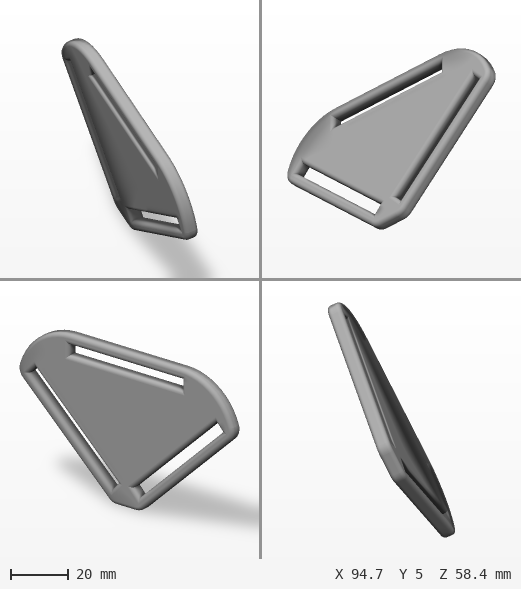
import cadquery as cq
import math

WIDTH = 94.7
HEIGHT = 58.4
THICKNESS = 5.0
EDGE_RADIUS = 1.5

TOP_HALF_LENGTH = 24.3
SHOULDER_RADIUS = 24.0
SIDE_RADIUS = 5.0
BOTTOM_HALF_LENGTH = 4.2
BOTTOM_RADIUS = 5.0

SLOT_LENGTH = 50.0
SLOT_WIDTH = 4.1
SLOT_INSET = 6.0
SLOT_SHIFT = 0.6


def along(start, angle, distance):
    """Point at a distance from start in the direction of an angle in radians."""
    return (start[0] + distance * math.cos(angle), start[1] + distance * math.sin(angle))


def mirrored(point):
    return (-point[0], point[1])


shoulder_center = (TOP_HALF_LENGTH, -SHOULDER_RADIUS)
side_x = WIDTH / 2 - SIDE_RADIUS
center_gap = SHOULDER_RADIUS - SIDE_RADIUS
side_z = shoulder_center[1] + math.sqrt(center_gap**2 - (side_x - TOP_HALF_LENGTH) ** 2)
side_center = (side_x, side_z)
bottom_center = (BOTTOM_HALF_LENGTH, BOTTOM_RADIUS - HEIGHT)

shoulder_angle = math.atan2(side_z - shoulder_center[1], side_x - shoulder_center[0])
run = side_center[0] - bottom_center[0]
rise = side_center[1] - bottom_center[1]
slope_angle = math.atan2(rise, run) - math.asin((SIDE_RADIUS - BOTTOM_RADIUS) / math.hypot(run, rise))
slope_normal = slope_angle - math.pi / 2

top_end = (TOP_HALF_LENGTH, 0)
shoulder_mid = along(shoulder_center, (math.pi / 2 + shoulder_angle) / 2, SHOULDER_RADIUS)
shoulder_end = along(shoulder_center, shoulder_angle, SHOULDER_RADIUS)
side_mid = along(side_center, (shoulder_angle + slope_normal) / 2, SIDE_RADIUS)
slope_top = along(side_center, slope_normal, SIDE_RADIUS)
slope_bottom = along(bottom_center, slope_normal, BOTTOM_RADIUS)
bottom_mid = along(bottom_center, (slope_normal - math.pi / 2) / 2, BOTTOM_RADIUS)
bottom_end = (BOTTOM_HALF_LENGTH, -HEIGHT)


def make_plate():
    return (
        cq.Workplane("XZ")
        .moveTo(*mirrored(top_end))
        .lineTo(*top_end)
        .threePointArc(shoulder_mid, shoulder_end)
        .threePointArc(side_mid, slope_top)
        .lineTo(*slope_bottom)
        .threePointArc(bottom_mid, bottom_end)
        .lineTo(*mirrored(bottom_end))
        .threePointArc(mirrored(bottom_mid), mirrored(slope_bottom))
        .lineTo(*mirrored(slope_top))
        .threePointArc(mirrored(side_mid), mirrored(shoulder_end))
        .threePointArc(mirrored(shoulder_mid), mirrored(top_end))
        .close()
        .extrude(THICKNESS / 2, both=True)
    )


def make_slot(center, angle):
    """Sharp-cornered through slot, turned by an angle in radians from +X towards +Z."""
    return (
        cq.Workplane("XZ")
        .center(*center)
        .transformed(rotate=(0, 0, math.degrees(angle)))
        .rect(SLOT_LENGTH, SLOT_WIDTH)
        .extrude(THICKNESS, both=True)
    )


slope_middle = ((slope_top[0] + slope_bottom[0]) / 2, (slope_top[1] + slope_bottom[1]) / 2)
slope_slot = along(along(slope_middle, slope_normal, -SLOT_INSET), slope_angle, SLOT_SHIFT)
slots = [
    ((0, -SLOT_INSET), 0),
    (slope_slot, slope_angle),
    (mirrored(slope_slot), -slope_angle),
]

plate = make_plate()
for slot_center, slot_angle in slots:
    plate = plate.cut(make_slot(slot_center, slot_angle))

result = plate.faces("<Y or >Y").edges().fillet(EDGE_RADIUS)